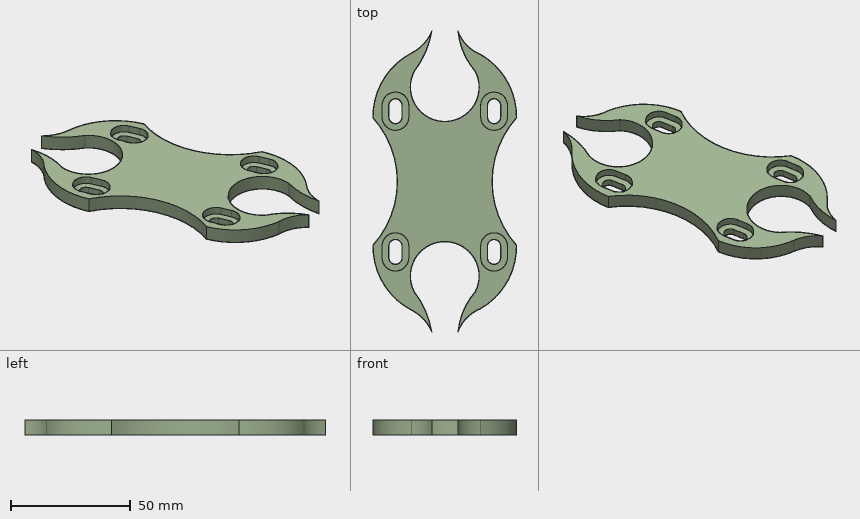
import cadquery as cq

thickness = 6.4
half_length = 62.7
half_width = 30.0
waist_half_width = 19.8
corner_y = 26.6

opening_radius = 14.3
opening_center_y = 39.4
opening_end_x = 12.7
opening_end_y = opening_center_y + (opening_radius**2 - opening_end_x**2) ** 0.5
opening_floor_y = opening_center_y - opening_radius

outer_flank = (22.6, 46.8)
left_tip_x = -5.4
left_shoulder = (-13.8, 53.7)
left_hook = (-8.2, 58.2)
left_inner = (-7.8, 54.5)
right_tip_x = 5.5
right_shoulder = (14.9, 53.1)
right_hook = (8.8, 57.3)
right_inner = (7.8, 53.8)

slot_x = 20.6
slot_y = 29.4
slot_width = 5.4
slot_length = 10.3
recess_width = 11.2
recess_length = 15.9
recess_depth = 3.3


def make_half_plate():
    """Half of the plate on the +Y side, from the waist to the claw tips."""
    waist_inset = half_width - waist_half_width
    waist_radius = (waist_inset**2 + corner_y**2) / (2 * waist_inset)
    waist_center_x = waist_half_width + waist_radius
    waist_mid_y = corner_y / 2
    waist_mid_x = waist_center_x - (waist_radius**2 - waist_mid_y**2) ** 0.5

    return (
        cq.Workplane("XY")
        .moveTo(-waist_half_width, 0)
        .threePointArc((-waist_mid_x, waist_mid_y), (-half_width, corner_y))
        .threePointArc((-outer_flank[0], outer_flank[1]), left_shoulder)
        .threePointArc(left_hook, (left_tip_x, half_length))
        .threePointArc(left_inner, (-opening_end_x, opening_end_y))
        .threePointArc((0, opening_floor_y), (opening_end_x, opening_end_y))
        .threePointArc(right_inner, (right_tip_x, half_length))
        .threePointArc(right_hook, right_shoulder)
        .threePointArc(outer_flank, (half_width, corner_y))
        .threePointArc((waist_mid_x, waist_mid_y), (waist_half_width, 0))
        .close()
        .extrude(thickness)
    )


def make_slots(length, width, bottom_z):
    """Slot-shaped cutters at the four slot centers, up to the top face."""
    centers = [(x, y) for x in (-slot_x, slot_x) for y in (-slot_y, slot_y)]
    return (
        cq.Workplane("XY", origin=(0, 0, bottom_z))
        .pushPoints(centers)
        .slot2D(length, width, 90)
        .extrude(thickness - bottom_z)
    )


half_plate = make_half_plate()
plate = half_plate.union(half_plate.mirror("XZ")).clean()
through_slots = make_slots(slot_length, slot_width, 0)
recesses = make_slots(recess_length, recess_width, thickness - recess_depth)

result = plate.cut(through_slots).cut(recesses)